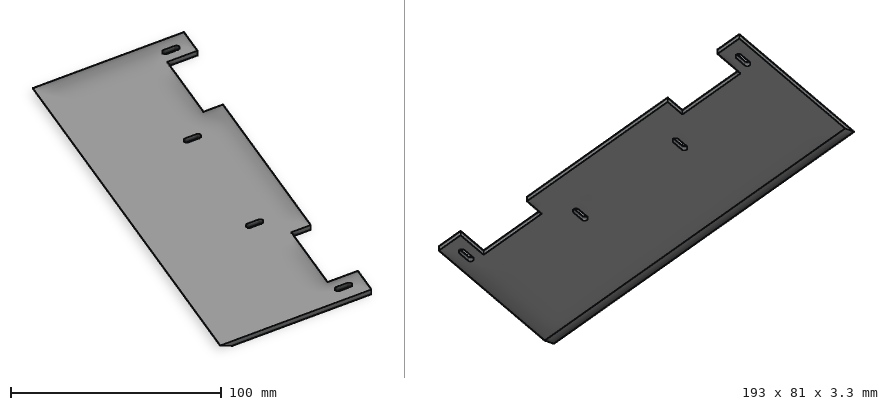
import cadquery as cq

length = 193.0
depth = 81.0
thickness = 3.3
bevel_run = 6.4

tab_width = 14.0
notch_depth = 16.2
step_width = 90.4
step_setback = 5.8

slot_length = 9.0
slot_width = 3.0
outer_slot_spacing = 177.7
outer_slot_setback = 11.0
inner_slot_spacing = 64.0
inner_slot_setback = 29.0

rear_y = depth / 2
front_y = -depth / 2
notch_width = (length - step_width) / 2 - tab_width
notch_offset = (step_width + notch_width) / 2


def make_plate():
    """Full rectangular plate with the underside of its front edge bevelled."""
    profile = [
        (rear_y, 0),
        (rear_y, thickness),
        (front_y, thickness),
        (front_y + bevel_run, 0),
    ]
    return cq.Workplane("YZ").polyline(profile).close().extrude(length / 2, both=True)


def rear_cut(center_x, width, cut_depth):
    """Block that removes a rectangle from the rear edge."""
    return (
        cq.Workplane("XY")
        .center(center_x, rear_y - cut_depth / 2)
        .rect(width, cut_depth)
        .extrude(thickness)
    )


def slot_pair(spacing, setback):
    """Two through slots placed symmetrically about the plate's middle."""
    slot_y = rear_y - setback
    return (
        cq.Workplane("XY")
        .pushPoints([(-spacing / 2, slot_y), (spacing / 2, slot_y)])
        .slot2D(slot_length, slot_width, 90)
        .extrude(thickness)
    )


result = make_plate()
result = result.cut(rear_cut(0, step_width, step_setback))
for side in (-1, 1):
    result = result.cut(rear_cut(side * notch_offset, notch_width, notch_depth))
result = result.cut(slot_pair(outer_slot_spacing, outer_slot_setback))
result = result.cut(slot_pair(inner_slot_spacing, inner_slot_setback))